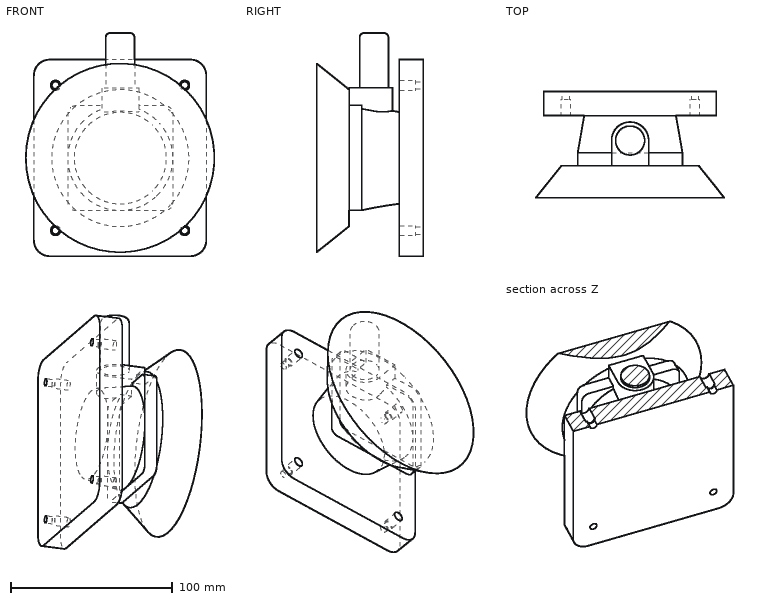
import cadquery as cq

PLATE_WIDTH = 107.0
PLATE_HEIGHT = 122.0
PLATE_THICKNESS = 15.0
PLATE_CORNER_RADIUS = 10.0

HOLE_SPACING_X = 80.0
HOLE_SPACING_Z = 90.0
HOLE_DIAMETER = 4.5
COUNTERBORE_DIAMETER = 6.0
COUNTERBORE_DEPTH = 10.0

DISC_FRONT_DIAMETER = 117.0
DISC_BACK_DIAMETER = 85.0
DISC_THICKNESS = 20.0

PAD_SIZE = 65.0
PAD_THICKNESS = 8.0
PAD_CORNER_RADIUS = 5.0

NECK_LENGTH = 23.0
NECK_FRONT_DIAMETER = PAD_SIZE
NECK_BACK_DIAMETER = 57.0

BOSS_WIDTH = 23.0
BOSS_TOP_Z = 43.5
PIN_DIAMETER = 18.0
PIN_LENGTH = 34.0
PIN_TIP_FILLET = 3.0
PIN_AXIS_TO_DISC_FRONT = 35.5

DISC_BACK_Y = DISC_THICKNESS
PAD_BACK_Y = DISC_BACK_Y + PAD_THICKNESS
PLATE_FRONT_Y = PAD_BACK_Y + NECK_LENGTH


def plane_at(y):
    """XZ plane at the given Y whose normal points toward +Y (local x is -X)."""
    return cq.Workplane(cq.Plane(origin=(0, y, 0), xDir=(-1, 0, 0), normal=(0, 1, 0)))


def rounded_block(y, width, height, thickness, corner_radius):
    block = plane_at(y).rect(width, height).extrude(thickness)
    return block.edges("|Y").fillet(corner_radius)


def cone_frustum(y, front_diameter, back_diameter, length):
    front = plane_at(y).circle(front_diameter / 2)
    return front.workplane(offset=length).circle(back_diameter / 2).loft(ruled=True)


def make_plate():
    plate = rounded_block(
        PLATE_FRONT_Y, PLATE_WIDTH, PLATE_HEIGHT, PLATE_THICKNESS, PLATE_CORNER_RADIUS
    )
    hole_centers = plane_at(PLATE_FRONT_Y).rarray(HOLE_SPACING_X, HOLE_SPACING_Z, 2, 2)
    holes = hole_centers.circle(HOLE_DIAMETER / 2).extrude(PLATE_THICKNESS)
    counterbores = hole_centers.circle(COUNTERBORE_DIAMETER / 2).extrude(COUNTERBORE_DEPTH)
    return plate.cut(holes).cut(counterbores)


def make_boss():
    """Upright U-shaped block, rooted at the disc axis inside the neck and pad."""
    half_width = BOSS_WIDTH / 2
    return (
        cq.Workplane("XY")
        .moveTo(-half_width, DISC_BACK_Y)
        .lineTo(half_width, DISC_BACK_Y)
        .lineTo(half_width, PIN_AXIS_TO_DISC_FRONT)
        .threePointArc(
            (0, PIN_AXIS_TO_DISC_FRONT + half_width),
            (-half_width, PIN_AXIS_TO_DISC_FRONT),
        )
        .close()
        .extrude(BOSS_TOP_Z)
    )


def make_pin():
    pin = (
        cq.Workplane("XY", origin=(0, PIN_AXIS_TO_DISC_FRONT, BOSS_TOP_Z))
        .circle(PIN_DIAMETER / 2)
        .extrude(PIN_LENGTH)
    )
    return pin.faces(">Z").edges().fillet(PIN_TIP_FILLET)


disc = cone_frustum(0, DISC_FRONT_DIAMETER, DISC_BACK_DIAMETER, DISC_THICKNESS)
pad = rounded_block(DISC_BACK_Y, PAD_SIZE, PAD_SIZE, PAD_THICKNESS, PAD_CORNER_RADIUS)
neck = cone_frustum(PAD_BACK_Y, NECK_FRONT_DIAMETER, NECK_BACK_DIAMETER, NECK_LENGTH)

result = make_plate().union(neck).union(pad).union(disc).union(make_boss()).union(make_pin())